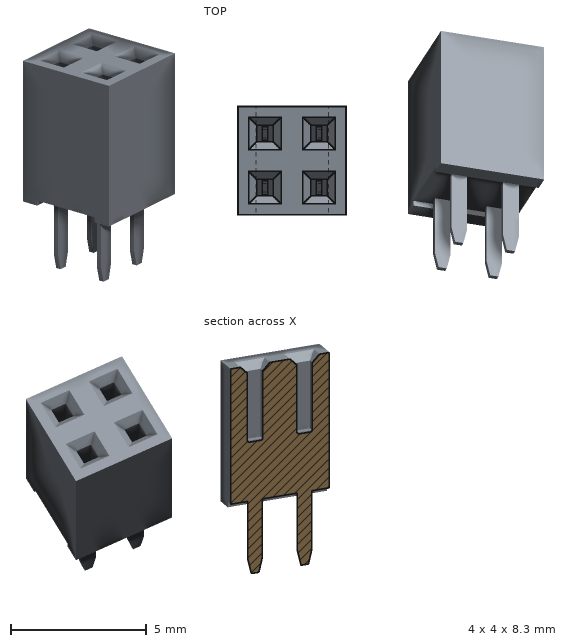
import cadquery as cq

body_side = 4.0
overall_height = 8.3
pin_length = 2.7
body_height = overall_height - pin_length
channel_width = 2.665
channel_height = 0.2

pitch = body_side / 2
contact_centers = [(x, y) for x in (-pitch / 2, pitch / 2) for y in (-pitch / 2, pitch / 2)]

funnel_side = 1.195
hole_side = 0.61
funnel_depth = (funnel_side - hole_side) / 2
hole_depth = 2.99

pin_thickness = 0.2
pin_width = hole_side
tip_width = 0.315
tip_length = 0.6

groove_depth = 0.05
groove_floor_length = hole_side - 2 * groove_depth

feet_z = pin_length
channel_z = feet_z + channel_height
top_z = overall_height
hole_floor_z = top_z - hole_depth


def plate(yz_points, thickness):
    """Flat plate with a YZ outline, centred on X = 0."""
    return cq.Workplane("YZ").polyline(yz_points).close().extrude(thickness / 2, both=True)


def make_housing():
    block = cq.Workplane("XY").workplane(offset=feet_z).rect(body_side, body_side).extrude(body_height)
    channel = (
        cq.Workplane("XY")
        .workplane(offset=feet_z)
        .rect(channel_width, body_side)
        .extrude(channel_height)
    )
    return block.cut(channel)


def make_pin():
    return plate(
        [
            (-pin_width / 2, channel_z),
            (-pin_width / 2, tip_length),
            (-tip_width / 2, 0),
            (tip_width / 2, 0),
            (pin_width / 2, tip_length),
            (pin_width / 2, channel_z),
        ],
        pin_thickness,
    )


def make_socket():
    hole = cq.Workplane("XY").workplane(offset=hole_floor_z).rect(hole_side, hole_side).extrude(hole_depth)
    funnel = (
        cq.Workplane("XY")
        .workplane(offset=top_z - funnel_depth)
        .rect(hole_side, hole_side)
        .workplane(offset=funnel_depth)
        .rect(funnel_side, funnel_side)
        .loft(combine=True)
    )
    groove = plate(
        [
            (-hole_side / 2, hole_floor_z),
            (-groove_floor_length / 2, hole_floor_z - groove_depth),
            (groove_floor_length / 2, hole_floor_z - groove_depth),
            (hole_side / 2, hole_floor_z),
        ],
        pin_thickness,
    )
    return hole.union(funnel).union(groove)


result = make_housing()
for x, y in contact_centers:
    result = result.union(make_pin().translate((x, y, 0)))
    result = result.cut(make_socket().translate((x, y, 0)))